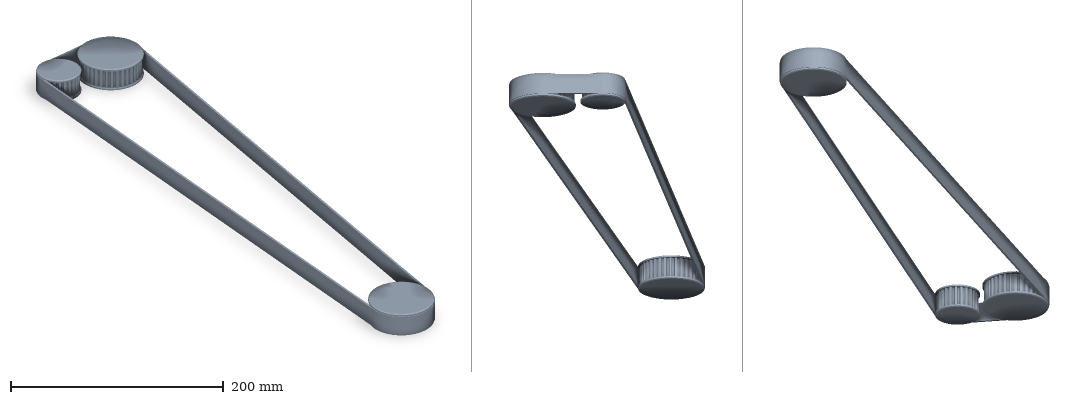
import cadquery as cq
import math

TOTAL_LENGTH = 594
TOTAL_DEPTH = 111.0
PULLEY_HEIGHT = 23.0

BELT_THICKNESS = 2.1
BELT_WIDTH = 19.0

LARGE_TIP_RADIUS = 29.5
SMALL_TIP_RADIUS = 19.5
LARGE_TEETH = 36
SMALL_TEETH = 24
GROOVE_DEPTH = 2.0
GROOVE_SHARE = 0.6
FLOOR_SHARE = 0.4
GROOVE_PHASE = 0.5
FLANGE_OVERHANG = 1.5
FLANGE_THICKNESS = (PULLEY_HEIGHT - BELT_WIDTH) / 2
CHAMFER_WIDTH = 1.5
CHAMFER_HEIGHT = 0.5

AXIS_DISTANCE_X = TOTAL_LENGTH - 2 * (LARGE_TIP_RADIUS + BELT_THICKNESS)
AXIS_DISTANCE_Y = TOTAL_DEPTH - LARGE_TIP_RADIUS - SMALL_TIP_RADIUS - 2 * BELT_THICKNESS
RIGHT_DROP = 15.0
LEFT_CENTER = (0, 0)
RIGHT_CENTER = (AXIS_DISTANCE_X, -RIGHT_DROP)
SMALL_CENTER = (LEFT_CENTER[0], -AXIS_DISTANCE_Y)


def polar(center, radius, angle):
    """Point at a distance and direction (radians) from a center."""
    return (center[0] + radius * math.cos(angle), center[1] + radius * math.sin(angle))


def toothed_core(tip_radius, teeth):
    """Disc around the origin, as tall as the belt, with flat-sided grooves across its rim."""
    origin = (0, 0)
    pitch = 2 * math.pi / teeth
    half_groove = GROOVE_SHARE * pitch / 2
    half_floor = FLOOR_SHARE * pitch / 2
    root_radius = tip_radius - GROOVE_DEPTH
    first_groove = GROOVE_PHASE * pitch
    profile = cq.Workplane("XY", origin=(0, 0, -BELT_WIDTH / 2))
    profile = profile.moveTo(*polar(origin, tip_radius, first_groove - half_groove))
    for i in range(teeth):
        groove = first_groove + i * pitch
        tooth = groove + pitch / 2
        next_groove = groove + pitch
        profile = profile.lineTo(*polar(origin, root_radius, groove - half_floor))
        profile = profile.threePointArc(
            polar(origin, root_radius, groove),
            polar(origin, root_radius, groove + half_floor),
        )
        profile = profile.lineTo(*polar(origin, tip_radius, groove + half_groove))
        profile = profile.threePointArc(
            polar(origin, tip_radius, tooth),
            polar(origin, tip_radius, next_groove - half_groove),
        )
    return profile.close().extrude(BELT_WIDTH)


def top_flange(radius):
    """Flange disc on top of the core, chamfered around its upper edge."""
    flange = cq.Workplane("XY", origin=(0, 0, BELT_WIDTH / 2)).circle(radius).extrude(FLANGE_THICKNESS)
    return flange.faces(">Z").chamfer(CHAMFER_HEIGHT, CHAMFER_WIDTH)


def pulley(center, tip_radius, teeth):
    """Toothed core between two mirrored flanges, moved to its axis."""
    flange = top_flange(tip_radius + FLANGE_OVERHANG)
    body = toothed_core(tip_radius, teeth).union(flange).union(flange.mirror("XY"))
    return body.translate((*center, 0))


def tangent_angle(start, end):
    """Direction from both wheel centers to the outer tangent right of the way from start to end."""
    (start_x, start_y), start_radius = start
    (end_x, end_y), end_radius = end
    dx = end_x - start_x
    dy = end_y - start_y
    lean = math.acos((start_radius - end_radius) / math.hypot(dx, dy))
    return math.atan2(dy, dx) - lean


def taut_loop(wheels, offset):
    """Solid filling the taut loop around the wheels (counterclockwise), offset outwards."""
    leaving = []
    for i, wheel in enumerate(wheels):
        following = wheels[(i + 1) % len(wheels)]
        leaving.append(tangent_angle(wheel, following))

    last_center, last_radius = wheels[-1]
    profile = cq.Workplane("XY", origin=(0, 0, -BELT_WIDTH / 2))
    profile = profile.moveTo(*polar(last_center, last_radius + offset, leaving[-1]))
    for i, (center, wheel_radius) in enumerate(wheels):
        radius = wheel_radius + offset
        arrival = leaving[i - 1]
        wrap = (leaving[i] - arrival) % (2 * math.pi)
        profile = profile.lineTo(*polar(center, radius, arrival))
        profile = profile.threePointArc(
            polar(center, radius, arrival + wrap / 2),
            polar(center, radius, arrival + wrap),
        )
    return profile.close().extrude(BELT_WIDTH)


def flat_belt(wheels):
    """Closed band of constant thickness around the wheels."""
    return taut_loop(wheels, BELT_THICKNESS).cut(taut_loop(wheels, 0))


pulley_specs = [
    (LEFT_CENTER, LARGE_TIP_RADIUS, LARGE_TEETH),
    (SMALL_CENTER, SMALL_TIP_RADIUS, SMALL_TEETH),
    (RIGHT_CENTER, LARGE_TIP_RADIUS, LARGE_TEETH),
]
pulleys = [pulley(*spec).val() for spec in pulley_specs]
belt = flat_belt([(center, tip_radius) for center, tip_radius, _ in pulley_specs])

result = cq.Compound.makeCompound([*pulleys, belt.val()])